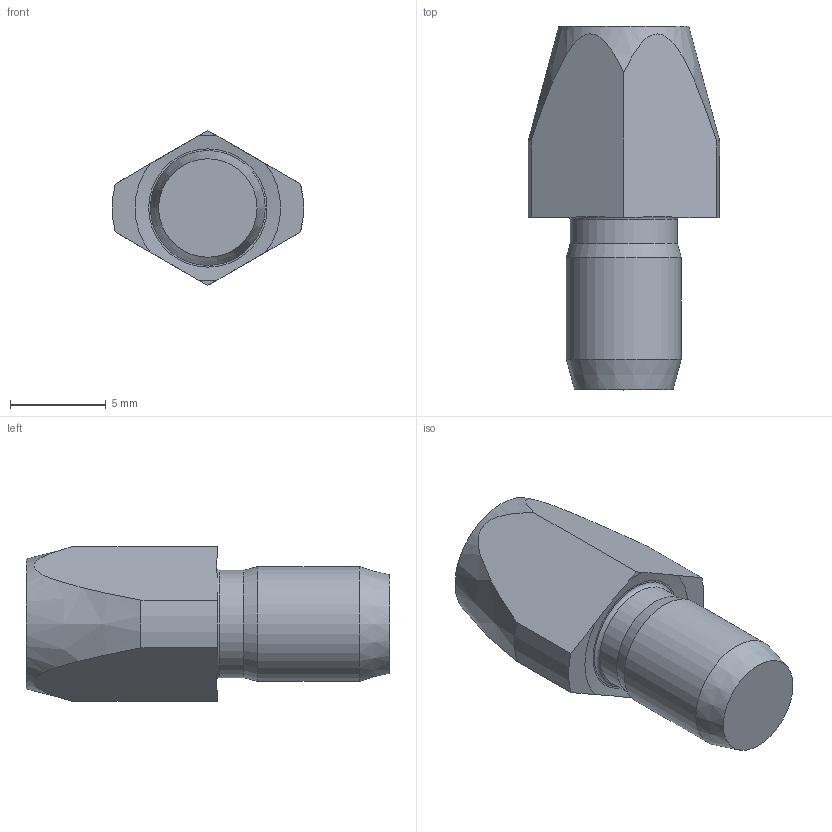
import cadquery as cq
import math


head_length = 10.0
head_diameter = 10.0
head_cone_length = 6.0
taper_angle = math.radians(15)
diamond_height = 8.09
diamond_slope = math.radians(30)

shank_length = 9.0
shank_diameter = 6.0
tip_cone_length = 1.6

neck_diameter = 5.6
undercut_length = 2.1
recess_depth = 0.1
recess_floor_diameter = 6.18
recess_angle = math.radians(8)
undercut_radius = 0.2


def revolve_about_y(profile):
    """Turn a closed XY profile once around the Y axis."""
    return profile.close().revolve(360, (0, 0, 0), (0, 1, 0))


def make_head():
    """Cylinder with a conical end, cut to a diamond by four flats."""
    radius = head_diameter / 2
    end_radius = radius - head_cone_length * math.tan(taper_angle)
    turned = revolve_about_y(
        cq.Workplane("XY")
        .lineTo(radius, 0)
        .lineTo(radius, head_length - head_cone_length)
        .lineTo(end_radius, head_length)
        .lineTo(0, head_length)
    )
    half_height = diamond_height / 2
    half_width = half_height / math.tan(diamond_slope)
    diamond = (
        cq.Workplane("XZ")
        .polyline([(half_width, 0), (0, half_height), (-half_width, 0), (0, -half_height)])
        .close()
        .extrude(-head_length)
    )
    return turned.intersect(diamond)


def make_recess():
    """Shallow recess in the head underside: a flat floor with a sloping rim."""
    floor_radius = recess_floor_diameter / 2
    mouth_radius = floor_radius + recess_depth / math.tan(recess_angle)
    return revolve_about_y(
        cq.Workplane("XY")
        .lineTo(mouth_radius, 0)
        .lineTo(floor_radius, recess_depth)
        .lineTo(0, recess_depth)
    )


def make_shank():
    """Shank with a tapered tip, a neck, and a fillet up to the recess floor."""
    radius = shank_diameter / 2
    tip_radius = radius - tip_cone_length * math.tan(taper_angle)
    neck_radius = neck_diameter / 2
    neck_cone_length = (radius - neck_radius) / math.tan(taper_angle)

    return revolve_about_y(
        cq.Workplane("XY")
        .moveTo(0, -shank_length)
        .lineTo(tip_radius, -shank_length)
        .lineTo(radius, -shank_length + tip_cone_length)
        .lineTo(radius, -undercut_length)
        .lineTo(neck_radius, -undercut_length + neck_cone_length)
        .lineTo(neck_radius, recess_depth - undercut_radius)
        .tangentArcPoint((neck_radius + undercut_radius, recess_depth), relative=False)
        .lineTo(0, recess_depth)
    )


result = make_head().cut(make_recess()).union(make_shank())